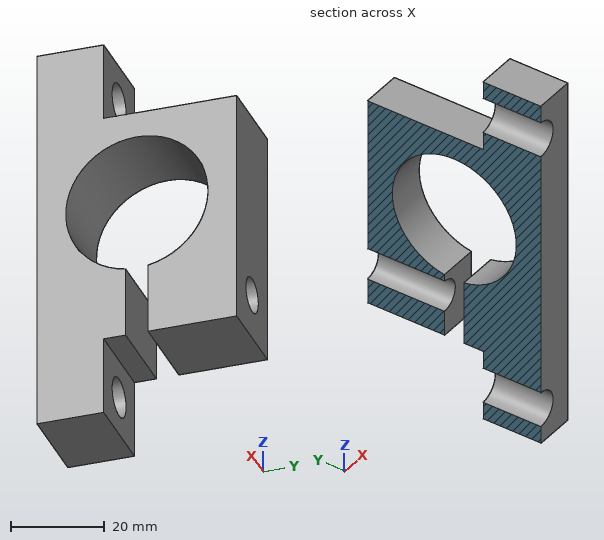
import cadquery as cq

width = 20.0
depth = 45.0
height = 90.0
plate_thickness = 15.0
body_bottom = 18.0
body_top = 72.0

bore_diameter = 32.0
bore_y = depth / 2
bore_z = 50.0
slot_width = 5.0

mount_hole_diameter = 9.0
mount_hole_inset = 9.0

screw_diameter = 8.0
screw_z = 28.4


def block(y_start, y_end, z_start, z_end):
    """Full-width block between the given Y and Z limits, centred on X."""
    return (
        cq.Workplane("XY")
        .box(width, y_end - y_start, z_end - z_start, centered=(True, False, False))
        .translate((0, y_start, z_start))
    )


def hole_along_y(diameter, z, y_start, y_end):
    """Cylinder along +Y on the mid-width plane."""
    return cq.Workplane(
        cq.Solid.makeCylinder(
            diameter / 2, y_end - y_start, cq.Vector(0, y_start, z), cq.Vector(0, 1, 0)
        )
    )


result = block(0, plate_thickness, 0, height).union(block(0, depth, body_bottom, body_top))

bore = cq.Workplane(
    cq.Solid.makeCylinder(
        bore_diameter / 2, width, cq.Vector(-width / 2, bore_y, bore_z), cq.Vector(1, 0, 0)
    )
)
result = result.cut(bore)

result = result.cut(block(bore_y - slot_width / 2, bore_y + slot_width / 2, body_bottom, bore_z))

for hole_z in (mount_hole_inset, height - mount_hole_inset):
    result = result.cut(hole_along_y(mount_hole_diameter, hole_z, 0, plate_thickness))

result = result.cut(hole_along_y(screw_diameter, screw_z, bore_y, depth))